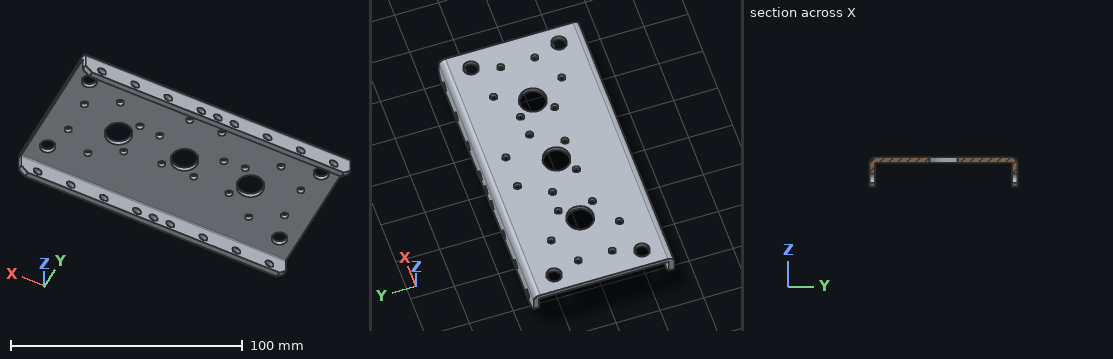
import cadquery as cq
import math

length = 128.0
width = 64.0
height = 12.7
thickness = 2.5
inner_bend_radius = 0.5
outer_bend_radius = inner_bend_radius + thickness
flange_corner_chamfer = 3.2

corner_hole_diameter = 6.75
corner_hole_spacing_x = 112.0
corner_hole_spacing_y = 40.0

boss_hole_diameter = 12.0
screw_hole_diameter = 3.15
screw_circle_radius = 15.5
screw_count = 6
boss_offset = 7.0
side_boss_x = 31.85

flange_hole_diameter = 3.8
flange_hole_pitch = 16.0
flange_holes_per_side = 4
flange_hole_height = 3.55


def make_channel():
    """Bent channel, centred in X and Y with the flange tips at Z = 0."""
    outer = cq.Workplane("XY").box(length, width, height, centered=(True, True, False))
    outer = outer.edges("|X and >Z").fillet(outer_bend_radius)
    inner = cq.Workplane("XY").box(
        length, width - 2 * thickness, height - thickness, centered=(True, True, False)
    )
    inner = inner.edges("|X and >Z").fillet(inner_bend_radius)
    channel = outer.cut(inner)
    return channel.faces("<Z").edges("|Y").chamfer(flange_corner_chamfer)


def web_holes(points, diameter):
    """Vertical drills at the given XY points."""
    return cq.Workplane("XY").pushPoints(points).circle(diameter / 2).extrude(height)


def screw_points(center_x, center_y, first_angle):
    """Screw positions evenly spaced around a motor's hole circle."""
    angles = [first_angle + i * 2 * math.pi / screw_count for i in range(screw_count)]
    return [
        (
            center_x + screw_circle_radius * math.cos(angle),
            center_y + screw_circle_radius * math.sin(angle),
        )
        for angle in angles
    ]


def cut_corner_holes(part):
    """Four mounting holes, one near each corner of the web."""
    corners = [
        (side_x * corner_hole_spacing_x / 2, side_y * corner_hole_spacing_y / 2)
        for side_x in (-1, 1)
        for side_y in (-1, 1)
    ]
    return part.cut(web_holes(corners, corner_hole_diameter))


def cut_motor_mount(part, boss_x, offset_angle):
    """Motor mount on the X axis; offset_angle points from the boss to the screw circle centre."""
    center_x = boss_x + boss_offset * math.cos(offset_angle)
    center_y = boss_offset * math.sin(offset_angle)
    first_angle = offset_angle + math.pi / screw_count
    part = part.cut(web_holes([(boss_x, 0)], boss_hole_diameter))
    return part.cut(web_holes(screw_points(center_x, center_y, first_angle), screw_hole_diameter))


def cut_flange_holes(part):
    """Holes along Y that pass through both flanges."""
    half_pitch = flange_hole_pitch / 2
    left_and_right = [
        side * (half_pitch + i * flange_hole_pitch)
        for side in (-1, 1)
        for i in range(flange_holes_per_side)
    ]
    points = [(x, flange_hole_height) for x in left_and_right + [0]]
    profile = cq.Workplane("XZ").pushPoints(points).circle(flange_hole_diameter / 2)
    drills = profile.extrude(width / 2, both=True)
    return part.cut(drills)


result = make_channel()
result = cut_corner_holes(result)
result = cut_motor_mount(result, -side_boss_x, math.pi)
result = cut_motor_mount(result, 0, math.pi / 2)
result = cut_motor_mount(result, side_boss_x, 0)
result = cut_flange_holes(result)